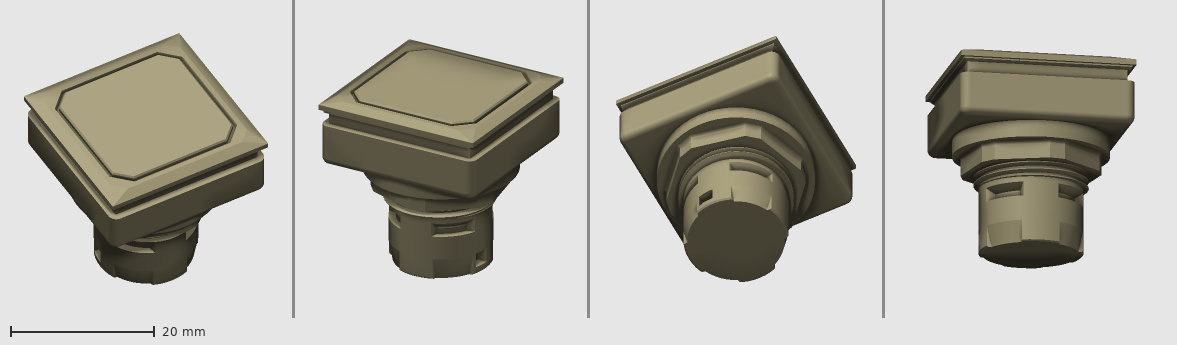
import cadquery as cq
import math

barrel_top_z = 9.3
nut_bottom_z = 11.44
collar_bottom_z = 14.05
housing_bottom_z = 16.42
housing_top_z = 22.45
lip_bottom_z = 24.22
plate_bottom_z = 24.75
plate_top_z = 25.5
bezel_top_z = 26.1
total_height = 26.35

corner_angles = (45, 135, 225, 315)

plate_width = 24.9
bezel_top_width = 21.87
bezel_corner_cut = 1.8
lip_width = 23.85
lip_bevel_height = 0.32
neck_width = 22.75
housing_width = 24.75
housing_corner_radius = 1.25
housing_bottom_fillet = 1.0

groove_mouth_width = 20.45
groove_width = 19.97
groove_corner_cut = 2.55
groove_depth = 0.5
pad_width = 19.35
pad_corner_cut = 2.21
pad_chamfer = 0.2

collar_diameter = 22.0
nut_across_flats = 18.0
nut_across_clipped_corners = 19.5
nut_turn = 10.7
nut_fillet = 0.5

barrel_diameter = 14.65
barrel_chamfer = 0.2
thread_diameter = 16.07
thread_pitch = 1.0
thread_root_width = 0.9
thread_crest_width = 0.08
thread_crest_z = 10.28
thread_turns = 4
thread_turns_below_crest = 2
thread_overlap = 0.1

window_bottom_z = 6.55
window_top_z = 8.56
window_width = 6.27
window_floor_radius = 6.3
window_step_z = 7.4
window_step_height = 0.2
window_step_depth = 0.08
relief_top_z = 3.05
relief_width = 5.9
relief_bottom_radius = 6.77
side_wall_angle = 57.0

socket_width = 2.3
socket_bottom_z = 1.05
socket_top_z = 3.15
socket_floor_y = -5.93

barrel_radius = barrel_diameter / 2
thread_radius = thread_diameter / 2
clearance = 1.32
hex_half_step = 30


def square_block(width, bottom_z, top_z):
    return cq.Workplane("XY").workplane(offset=bottom_z).rect(width, width).extrude(top_z - bottom_z)


def disc(diameter, bottom_z, top_z):
    return cq.Workplane("XY").workplane(offset=bottom_z).circle(diameter / 2).extrude(top_z - bottom_z)


def octagon(width, corner_cut, z):
    """Sketch a square with equally cut corners at height z."""
    edge = width / 2
    inner = edge - corner_cut
    points = [
        (edge, inner), (inner, edge), (-inner, edge), (-edge, inner),
        (-edge, -inner), (-inner, -edge), (inner, -edge), (edge, -inner),
    ]
    return cq.Workplane("XY").workplane(offset=z).polyline(points).close()


def make_bezel():
    """Square plate with a sloped rim, triangular corner facets and an octagonal groove round a pad."""
    slope_height = bezel_top_z - plate_top_z
    plate = square_block(plate_width, plate_bottom_z, plate_top_z)
    rim = (
        cq.Workplane("XY").workplane(offset=plate_top_z).rect(plate_width, plate_width)
        .workplane(offset=slope_height).rect(bezel_top_width, bezel_top_width).loft()
    )
    corner_reach = plate_width / math.sqrt(2)
    facet_reach = (bezel_top_width - bezel_corner_cut) / math.sqrt(2)
    facet_cutter = (
        cq.Workplane("XZ")
        .polyline([
            (corner_reach, plate_top_z), (facet_reach, bezel_top_z), (corner_reach, bezel_top_z),
        ])
        .close().extrude(plate_width / 2, both=True)
    )
    for angle in corner_angles:
        rim = rim.cut(facet_cutter.rotate((0, 0, 0), (0, 0, 1), angle))
    bezel = plate.union(rim)

    mouth_bevel = (groove_mouth_width - groove_width) / 2
    slope = math.degrees(math.atan2(mouth_bevel, groove_depth))
    groove = octagon(groove_mouth_width, groove_corner_cut, bezel_top_z).extrude(-groove_depth, taper=slope)
    bezel = bezel.cut(groove)
    pad = octagon(pad_width, pad_corner_cut, bezel_top_z - groove_depth).extrude(
        total_height - bezel_top_z + groove_depth
    )
    return bezel.union(pad.faces(">Z").chamfer(pad_chamfer))


def make_lip():
    """Square lip under the plate, bevelled back to the neck along its -Y and +X sides."""
    lip = square_block(lip_width, lip_bottom_z, plate_bottom_z)
    bevel_top_z = lip_bottom_z + lip_bevel_height
    bevel = (
        cq.Workplane("YZ")
        .polyline([
            (-lip_width / 2, bevel_top_z),
            (-neck_width / 2, lip_bottom_z),
            (-lip_width / 2, lip_bottom_z),
        ])
        .close().extrude(lip_width / 2, both=True)
    )
    return lip.cut(bevel).cut(bevel.rotate((0, 0, 0), (0, 0, 1), 90))


def make_housing():
    """Square housing with round corners and a rounded bottom edge."""
    housing = square_block(housing_width, housing_bottom_z, housing_top_z)
    housing = housing.edges("|Z").fillet(housing_corner_radius)
    return housing.faces("<Z").edges().fillet(housing_bottom_fillet)


def make_collar_and_nut():
    """Round collar over a hexagonal nut with clipped corners, blended by a fillet."""
    collar = disc(collar_diameter, collar_bottom_z, housing_bottom_z)

    def hexagon(across_flats, turn):
        across_corners = across_flats / math.cos(math.radians(hex_half_step))
        prism = (
            cq.Workplane("XY").workplane(offset=nut_bottom_z).polygon(6, across_corners)
            .extrude(collar_bottom_z - nut_bottom_z)
        )
        return prism.rotate((0, 0, 0), (0, 0, 1), turn)

    nut = hexagon(nut_across_flats, nut_turn)
    nut = nut.intersect(hexagon(nut_across_clipped_corners, nut_turn + hex_half_step))
    joined = collar.union(nut)
    seam_reach = nut_across_clipped_corners / 2
    seam_box = cq.selectors.BoxSelector(
        (-seam_reach, -seam_reach, collar_bottom_z - nut_fillet),
        (seam_reach, seam_reach, collar_bottom_z + nut_fillet),
    )
    return joined.edges("%LINE").edges(seam_box).fillet(nut_fillet)


def make_thread():
    """Right-hand ridge, trimmed flat at the barrel and running up into the nut."""
    start_z = thread_crest_z - thread_turns_below_crest * thread_pitch
    root_x = barrel_radius - thread_overlap
    helix = cq.Workplane(obj=cq.Wire.makeHelix(thread_pitch, thread_turns * thread_pitch, barrel_radius))
    ridge = (
        cq.Workplane("XZ")
        .polyline([
            (root_x, -thread_root_width / 2), (thread_radius, -thread_crest_width / 2),
            (thread_radius, thread_crest_width / 2), (root_x, thread_root_width / 2),
        ])
        .close().sweep(helix, isFrenet=True)
        .translate((0, 0, start_z))
    )
    return ridge.intersect(disc(2 * thread_diameter, barrel_top_z, nut_bottom_z + thread_pitch / 2))


def diagonal_recess(profile, mouth_width, bottom_z, top_z):
    """Ring with the given (radius, z) section, kept between two side walls that close inwards along +X."""
    ring = cq.Workplane("XZ").polyline(profile).close().revolve(360, (0, 0, 0), (0, 1, 0))
    half_mouth = mouth_width / 2
    mouth_x = math.sqrt(barrel_radius**2 - half_mouth**2)
    spread = math.tan(math.radians(side_wall_angle))
    outer_x = barrel_radius + clearance
    apex_x = mouth_x - half_mouth / spread
    outer_half = (outer_x - apex_x) * spread
    walls = (
        cq.Workplane("XY").workplane(offset=bottom_z)
        .polyline([(apex_x, 0), (outer_x, -outer_half), (outer_x, outer_half)])
        .close().extrude(top_z - bottom_z)
    )
    return ring.intersect(walls)


def make_barrel():
    """Threaded barrel with a window and a relief at each corner and a socket in front."""
    barrel = disc(barrel_diameter, 0, collar_bottom_z).union(make_thread())
    barrel = barrel.faces("<Z").chamfer(barrel_chamfer)
    outer = barrel_radius + clearance
    step_radius = window_floor_radius - window_step_depth
    step_top_z = window_step_z + window_step_height
    window = diagonal_recess(
        [
            (window_floor_radius, window_bottom_z), (outer, window_bottom_z), (outer, window_top_z),
            (barrel_radius, window_top_z), (step_radius, step_top_z), (window_floor_radius, window_step_z),
        ],
        window_width, window_bottom_z, window_top_z,
    )
    relief = diagonal_recess(
        [(relief_bottom_radius, 0), (outer, 0), (outer, relief_top_z), (barrel_radius, relief_top_z)],
        relief_width, 0, relief_top_z,
    )
    for angle in corner_angles:
        barrel = barrel.cut(window.rotate((0, 0, 0), (0, 0, 1), angle))
        barrel = barrel.cut(relief.rotate((0, 0, 0), (0, 0, 1), angle))
    socket_height = socket_top_z - socket_bottom_z
    socket_length = outer + socket_floor_y
    socket = (
        cq.Workplane("XY").box(socket_width, socket_length, socket_height, centered=False)
        .translate((-socket_width, -outer, socket_bottom_z))
    )
    return barrel.cut(socket)


neck = square_block(neck_width, housing_top_z, lip_bottom_z)
result = make_barrel()
for piece in (make_collar_and_nut(), make_housing(), neck, make_lip(), make_bezel()):
    result = result.union(piece)